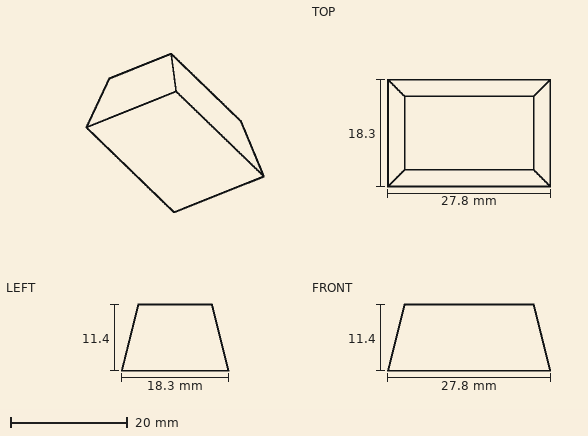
import cadquery as cq
import math

base_length = 27.82
base_width = 18.3
height = 11.4

wall_draft_angle = 14.0
wall_inset = height * math.tan(math.radians(wall_draft_angle))

top_length = base_length - 2 * wall_inset
top_width = base_width - 2 * wall_inset


def tapered_block():
    """Solid block lofted from the base rectangle to the smaller top rectangle."""
    return (
        cq.Workplane("XY")
        .rect(base_length, base_width)
        .workplane(offset=height)
        .rect(top_length, top_width)
        .loft(ruled=True, combine=True)
    )


result = tapered_block()